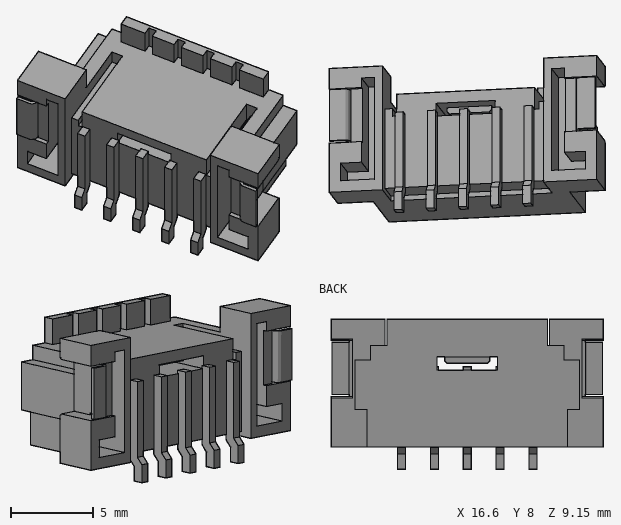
import cadquery as cq
import math

OVERLAP = 0.05

body_front = 0.85
body_back = 7.8
body_top = 6.2
upper_half_width = 5.9
flange_half_width = 6.85
lower_half_width = 6.1
flange_bottom = 2.3
flange_top = 5.3
relief_height = 0.3

total_width = 16.6
tower_outer = total_width / 2
tower_inner = 5.0
tower_depth = 2.75
tower_height = 7.8

rib_half_width = 4.9
rib_depth = 0.7
rib_notch_width = 0.5
rib_notch_depth = 0.5

pin_count = 5
pitch = 2.0
pin_width = 0.5
pin_depth = 0.7
pin_offset = 0.4
pin_top = 4.9
pin_bend = 0.18
pin_back_bend = -0.03
pin_bottom = -1.35
pin_front = -0.2
pin_xs = [(i - (pin_count - 1) / 2) * pitch for i in range(pin_count)]

channel_back = 6.1
channel_inner = 4.28
channel_step = 4.55
channel_floor = 4.83

window_half_width = 1.83
window_bottom = 4.7
window_top = 5.5
lug_half_width = 1.38
lug_height = 0.4
lug_length = 0.8
lug_undercut = 0.05
lug_corner = 0.15
lug_front = 2.0

slot_inner = 5.5
slot_outer = 6.3
slot_foot_outer = 7.6
slot_bottom = 0.7
slot_foot_top = 1.8
slot_top = 7.1
slot_depth = 2.25
recess_bottom = 3.1
recess_top = 6.5
recess_rear_bevel = 0.1
recess_web_front = 0.26

tab_thickness = 0.2
tab_inner_face = 7.0
tab_bend_radius = 0.39
tab_front = -0.2
tab_end = 8.25
tab_back = 2.7
tab_shoulder = 1.28
tab_clearance = 0.1


def box(x0, x1, y0, y1, z0, z1):
    """Box between two opposite corners."""
    return cq.Workplane("XY").box(x1 - x0, y1 - y0, z1 - z0, centered=False).translate((x0, y0, z0))


def both_sides(shape):
    """The shape on the +X side together with its mirror image."""
    return shape.union(shape.mirror("YZ"))


def make_body():
    """Housing with side flanges behind the towers and a narrower front part between them."""
    levels = [
        (lower_half_width, 0, flange_bottom),
        (flange_half_width, flange_bottom, flange_top),
        (upper_half_width, flange_top, body_top),
    ]
    body = box(-tower_inner, tower_inner, body_front, body_back, relief_height, body_top)
    for half_width, bottom, top in levels:
        body = body.union(box(-half_width, half_width, tower_depth, body_back, bottom, top))
    return body


def make_rib():
    """Upright rear rib with a notch between neighbouring pin positions."""
    rib_front = body_back - rib_depth
    rib = box(-rib_half_width, rib_half_width, rib_front, body_back, body_top - OVERLAP, tower_height)
    for left, right in zip(pin_xs, pin_xs[1:]):
        x = (left + right) / 2
        half = rib_notch_width / 2
        rib = rib.cut(box(x - half, x + half, rib_front, rib_front + rib_notch_depth, body_top, tower_height))
    return rib


def make_channel():
    """Stepped channel in the body top, open to the front and top."""
    outer = box(channel_step, tower_inner, body_front, channel_back, flange_top, body_top)
    inner = box(channel_inner, channel_step, body_front, channel_back, channel_floor, body_top)
    return outer.union(inner)


def make_lug():
    """Latch lug with beveled lower corners and a slightly undercut front face."""
    bottom = window_top - lug_height
    top = window_top + OVERLAP
    lug = (
        box(-lug_half_width, lug_half_width, lug_front, lug_front + lug_length, bottom, top)
        .edges("|Y and <Z")
        .chamfer(lug_corner)
    )
    undercut = (
        cq.Workplane("YZ")
        .polyline([(lug_front, bottom), (lug_front, window_top), (lug_front + lug_undercut, window_top)])
        .close()
        .extrude(lug_half_width, both=True)
    )
    return lug.cut(undercut)


def make_tower():
    """End tower on the +X side with the L-shaped slot and the recess for the solder tab."""
    tower = box(tower_inner, tower_outer, 0, tower_depth, 0, tower_height)
    tower = tower.cut(box(slot_inner, slot_outer, 0, slot_depth, slot_bottom, slot_top))
    tower = tower.cut(box(slot_inner, slot_foot_outer, 0, slot_depth, slot_bottom, slot_foot_top))
    tower = tower.cut(box(slot_outer, tower_outer, 0, recess_web_front, recess_bottom, recess_top))
    tab_recess = (
        cq.Workplane("YZ")
        .workplane(offset=tab_inner_face)
        .polyline([
            (0, recess_bottom),
            (tower_depth - recess_rear_bevel, recess_bottom),
            (tower_depth, recess_bottom - recess_rear_bevel),
            (tower_depth, recess_top + recess_rear_bevel),
            (tower_depth - recess_rear_bevel, recess_top),
            (0, recess_top),
        ])
        .close()
        .extrude(tower_outer - tab_inner_face)
    )
    return tower.cut(tab_recess)


def make_tab():
    """Bent solder tab on the +X side: leg along Y, foot turned outward along X."""
    leg_outer = tab_inner_face + tab_thickness
    foot_back = tab_front + tab_thickness
    bend_x = tab_inner_face + tab_bend_radius
    bend_y = tab_front + tab_bend_radius
    inner_radius = tab_bend_radius - tab_thickness
    diagonal = math.sqrt(0.5)
    outer_mid = (bend_x - tab_bend_radius * diagonal, bend_y - tab_bend_radius * diagonal)
    inner_mid = (bend_x - inner_radius * diagonal, bend_y - inner_radius * diagonal)
    strip = (
        cq.Workplane("XY")
        .workplane(offset=recess_bottom + tab_clearance)
        .moveTo(tab_inner_face, tab_shoulder)
        .lineTo(tab_inner_face, bend_y)
        .threePointArc(outer_mid, (bend_x, tab_front))
        .lineTo(tab_end, tab_front)
        .lineTo(tab_end, foot_back)
        .lineTo(bend_x, foot_back)
        .threePointArc(inner_mid, (leg_outer, bend_y))
        .lineTo(leg_outer, tab_shoulder)
        .close()
        .extrude(recess_top - recess_bottom - 2 * tab_clearance)
    )
    return strip.union(box(tab_inner_face, leg_outer, tab_shoulder, tab_back, recess_bottom, recess_top))


def make_pin(x):
    """Terminal with an upright leg and a tail joggled toward the front."""
    leg_front = pin_front + pin_offset
    leg_back = leg_front + pin_depth
    tail_back = pin_front + pin_depth
    side = [
        (leg_front, pin_top),
        (leg_front, pin_bend),
        (pin_front, pin_bend - pin_offset),
        (pin_front, pin_bottom),
        (tail_back, pin_bottom),
        (tail_back, pin_back_bend - pin_offset),
        (leg_back, pin_back_bend),
        (leg_back, pin_top),
    ]
    return cq.Workplane("YZ").polyline(side).close().extrude(pin_width / 2, both=True).translate((x, 0, 0))


result = make_body().union(make_rib())
result = result.cut(both_sides(make_channel()))
result = result.union(both_sides(make_tower())).union(both_sides(make_tab()))
result = result.cut(
    box(-window_half_width, window_half_width, body_front, body_back, window_bottom, window_top)
)
result = result.union(make_lug())
for pin_x in pin_xs:
    result = result.union(make_pin(pin_x))